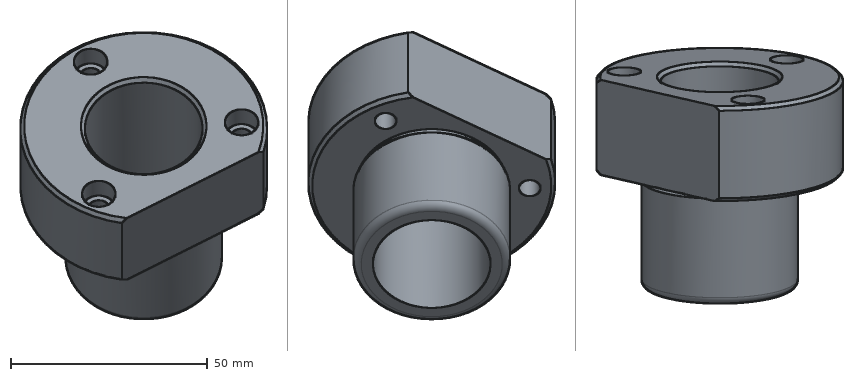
import cadquery as cq

flange_diameter = 62.95
total_height = 55.0
flange_height = 25.0
flat_offset = 23.05
flange_chamfer = 1.0

spigot_diameter = 40.0
spigot_length = total_height - flange_height
relief_diameter = 38.6
relief_width = 1.3
relief_chamfer = 0.7
spigot_end_fillet = 2.0

bore_diameter = 30.0
bore_chamfer = 1.0

hole_count = 3
hole_circle_radius = 25.0
hole_diameter = 5.5
counterbore_diameter = 8.5
counterbore_depth = 6.0


def make_flange():
    """Chamfered disc with one side cut flat."""
    disc = cq.Workplane("XY").circle(flange_diameter / 2).extrude(flange_height)
    disc = disc.edges().chamfer(flange_chamfer)
    beyond_flat = (
        cq.Workplane("XY")
        .box(flange_diameter, flange_diameter, flange_height, centered=(False, True, False))
        .translate((flat_offset, 0, 0))
    )
    return disc.cut(beyond_flat)


def make_spigot():
    """Round spigot with a rounded lower end and a relief groove under the flange."""
    relief = cq.Workplane("XY").circle(relief_diameter / 2).extrude(-relief_width)
    body = (
        cq.Workplane("XY", origin=(0, 0, -relief_width))
        .circle(spigot_diameter / 2)
        .extrude(relief_width - spigot_length)
    )
    body = body.faces(">Z").edges().chamfer(relief_chamfer)
    body = body.faces("<Z").edges().fillet(spigot_end_fillet)
    return relief.union(body)


def cut_bore(part):
    """Through bore, chamfered at the flange face."""
    part = part.faces(">Z").workplane(origin=(0, 0, 0)).hole(bore_diameter)
    bore_rim = part.faces(">Z").edges(cq.selectors.RadiusNthSelector(0))
    return bore_rim.chamfer(bore_chamfer)


def cut_screw_holes(part):
    """Counterbored through holes, evenly spaced with one on the -X side."""
    return (
        part.faces(">Z")
        .workplane(origin=(0, 0, 0))
        .polarArray(hole_circle_radius, 180, 360, hole_count)
        .cboreHole(hole_diameter, counterbore_diameter, counterbore_depth)
    )


result = cut_screw_holes(cut_bore(make_flange().union(make_spigot())))